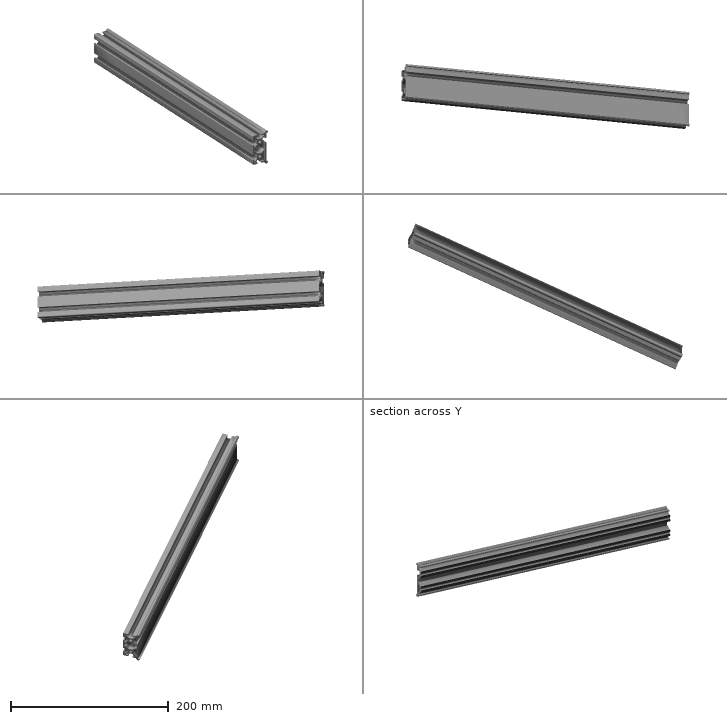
import cadquery as cq
import math

length = 374.5
total_depth = 22.5
total_height = 45.7
ridge_y = 2.47
cell = total_depth - ridge_y
body_depth = cell
body_height = 2 * cell
edge_radius = 1.27

wall = 2.0
slot_opening = 6.0
lip_bevel = 0.25
slot_half_width = 6.5
arm_thickness = 1.6

core_side = 8.0
bore_radius = 2.15
groove_width = 1.0
groove_depth = 0.3

ridge_flat = 1.27
ridge_bevel = 1.5
ridge_slope = 2.2
ridge_foot = 0.7

ridge_z = (total_height - body_height) / 2
front_y = -total_depth / 2
back_y = front_y + body_depth
middle_y = front_y + body_depth / 2
top_z = body_height / 2
block_side = cell / 2 - slot_half_width
rib_height = arm_thickness / math.sqrt(2)
upper_cell_z = cell / 2
lower_cell_z = -cell / 2


def bar(depth, height, y, z):
    """Full-length bar with a rectangular section centred on (y, z)."""
    return cq.Workplane("XY").box(length, depth, height).translate((0, y, z))


def prism(section):
    """Full-length bar with a polygonal section given as (y, z) points."""
    return cq.Workplane("YZ").polyline(section).close().extrude(length / 2, both=True)


def turned(solid, angle, cell_z):
    """Turn a solid about the X axis, then move it to a cell's centre."""
    return solid.rotate((0, 0, 0), (1, 0, 0), angle).translate((0, middle_y, cell_z))


def shell():
    """Outer wall of the body, with its -Y long edges rounded."""
    outer = bar(body_depth, body_height, middle_y, 0).edges("|X and <Y").fillet(edge_radius)
    inner = bar(body_depth - 2 * wall, body_height - 2 * wall, middle_y, 0)
    return outer.cut(inner)


def cell_web(outward):
    """Core, diagonal arms, corner blocks and wall ribs of a cell whose outer end is at outward * Z."""
    arm_length = math.sqrt(2) * (2 * slot_half_width + rib_height)
    web = bar(core_side, core_side, 0, 0)
    for angle in (45, -45):
        web = web.union(bar(arm_length, arm_thickness, 0, 0).rotate((0, 0, 0), (1, 0, 0), angle))
    block_depth = block_side - wall / 2
    block_offset = slot_half_width + block_depth / 2
    rib_z = -outward * (slot_half_width + rib_height / 2)
    for side in (-1, 1):
        web = web.union(bar(block_depth, block_depth, side * block_offset, outward * block_offset))
        web = web.union(bar(block_depth, rib_height, side * block_offset, rib_z))
    return web.translate((0, middle_y, outward * cell / 2))


def ridge():
    """Bevelled ridge on the upper +Y corner."""
    tip_y = back_y + ridge_y
    tip_z = top_z + ridge_z
    flat_end_y = tip_y - ridge_bevel - ridge_flat
    slope_end_y = flat_end_y - ridge_slope
    section = [
        (tip_y, tip_z - ridge_bevel),
        (tip_y - ridge_bevel, tip_z),
        (flat_end_y, tip_z),
        (slope_end_y, tip_z - ridge_slope),
        (slope_end_y, top_z - ridge_foot),
        (back_y, top_z - ridge_foot),
        (back_y, top_z),
        (tip_y, top_z),
    ]
    return prism(section)


def slot_opening_cutter():
    """Cutter for the opening in a cell's +Z wall, the cell being centred on the origin."""
    outside = cell / 2
    half = slot_opening / 2
    section = [
        (-half, outside - wall),
        (half, outside - wall),
        (half, outside - lip_bevel),
        (half + lip_bevel, outside),
        (-half - lip_bevel, outside),
        (-half, outside - lip_bevel),
    ]
    return prism(section)


def groove_cutter():
    """Cutter for the V groove in a core's +Z face, the core being centred on the origin."""
    floor = core_side / 2
    section = [
        (-groove_width / 2, floor),
        (0, floor - groove_depth),
        (groove_width / 2, floor),
    ]
    return prism(section)


upper_ridge = ridge()
body = shell().union(cell_web(1)).union(cell_web(-1))
body = body.union(upper_ridge).union(upper_ridge.mirror("XY"))

to_top, to_back, to_bottom, to_front = 0, -90, 180, 90
open_slots = [
    (to_top, upper_cell_z),
    (to_front, upper_cell_z),
    (to_back, upper_cell_z),
    (to_front, lower_cell_z),
    (to_bottom, lower_cell_z),
]
closed_slot = (to_back, lower_cell_z)

for angle, cell_z in open_slots:
    body = body.cut(turned(slot_opening_cutter(), angle, cell_z))
for angle, cell_z in open_slots + [closed_slot]:
    body = body.cut(turned(groove_cutter(), angle, cell_z))

for cell_z in (lower_cell_z, upper_cell_z):
    bore = cq.Workplane("YZ").center(middle_y, cell_z).circle(bore_radius)
    body = body.cut(bore.extrude(length / 2, both=True))

result = body